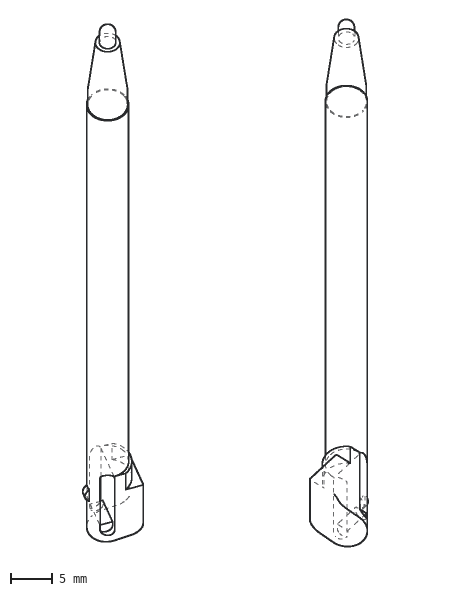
import cadquery as cq
import math

TOTAL_LENGTH = 93.86
BODY_WIDTH = 5.13
BODY_RADIUS = BODY_WIDTH / 2
BACK_REACH = 3.8
FRONT_REACH = 3.08

TIP_RADIUS = 1.0
TIP_LENGTH = 2.9
TIP_DOME_HEIGHT = 0.95
CONE_LENGTH = 8.85
CONE_END_RADIUS = 1.5
COLLAR_RADIUS = 2.43
COLLAR_LENGTH = 2.85

CAP_HEIGHT = 9.25
CAP_BOTTOM_RISE = 0.6
CAP_HEEL_RADIUS = 1.8
CAP_EDGE_RADIUS = 0.3
SLEEVE_RADIUS = 2.95
SLEEVE_TOP = 12.3

SLOT_DEPTH = 1.65
SLOT_BOTTOM = 1.4
SLOT_TOP = 12.65
SLOT_CORNER_RADIUS = 0.78
SLOT_BLOCK_TOP = 2.94
SLOT_BLOCK_WIDTH = 3.6

BUMP_WIDTH = 0.85
BUMP_HEIGHT = 2.1
BUMP_CENTER_Z = 7.3

TIP_BASE = TOTAL_LENGTH - TIP_LENGTH
CONE_BASE = TIP_BASE - CONE_LENGTH
COLLAR_BASE = CONE_BASE - COLLAR_LENGTH


def make_barrel():
    """Round barrel, collar, cone and domed tip as one turned shape."""
    dome_base = TOTAL_LENGTH - TIP_DOME_HEIGHT
    diagonal = math.sqrt(0.5)
    profile = (
        cq.Workplane("XZ")
        .lineTo(BODY_RADIUS, 0)
        .lineTo(BODY_RADIUS, COLLAR_BASE)
        .lineTo(COLLAR_RADIUS, COLLAR_BASE)
        .lineTo(COLLAR_RADIUS, CONE_BASE)
        .lineTo(CONE_END_RADIUS, TIP_BASE)
        .lineTo(TIP_RADIUS, TIP_BASE)
        .lineTo(TIP_RADIUS, dome_base)
        .threePointArc(
            (TIP_RADIUS * diagonal, dome_base + TIP_DOME_HEIGHT * diagonal),
            (0, TOTAL_LENGTH),
        )
        .close()
    )
    return profile.revolve(360, (0, 0, 0), (0, 1, 0))


def make_cap():
    """Square-backed cap block behind the parting plane, with softened back edges."""
    block = cq.Workplane("XY").box(
        BODY_WIDTH, BACK_REACH, CAP_HEIGHT, centered=(True, False, False)
    )
    return block.faces(">Y").edges("not <Z").fillet(CAP_EDGE_RADIUS)


def make_sleeve():
    """Back half of a wider round sleeve, trimmed flat to the width of the body."""
    sleeve = cq.Workplane("XY").circle(SLEEVE_RADIUS).extrude(SLEEVE_TOP)
    trim = cq.Workplane("XY").box(
        BODY_WIDTH, SLEEVE_RADIUS, SLEEVE_TOP, centered=(True, False, False)
    )
    return sleeve.intersect(trim)


def make_end_trim():
    """Side outline that slants the end face and rounds the heel of the cap."""
    outline = (
        cq.Workplane("YZ")
        .moveTo(-BODY_RADIUS, 0)
        .lineTo(BACK_REACH, CAP_BOTTOM_RISE)
        .lineTo(BACK_REACH, TOTAL_LENGTH)
        .lineTo(-BODY_RADIUS, TOTAL_LENGTH)
        .close()
        .extrude(BODY_RADIUS, both=True)
    )
    return outline.edges("|X and >Y").edges("<Z").fillet(CAP_HEEL_RADIUS)


def make_slot():
    """Slot through the sides, left partly filled by a block at its lower end."""
    slot = (
        cq.Workplane("XY")
        .box(BODY_WIDTH, SLOT_DEPTH, SLOT_TOP - SLOT_BOTTOM, centered=(True, False, False))
        .translate((0, -SLOT_DEPTH, SLOT_BOTTOM))
        .edges("|X")
        .fillet(SLOT_CORNER_RADIUS)
    )
    block = (
        cq.Workplane("XY")
        .box(SLOT_BLOCK_WIDTH, SLOT_DEPTH, SLOT_BLOCK_TOP, centered=(True, False, False))
        .translate((0, -SLOT_DEPTH, 0))
    )
    return slot.cut(block)


def make_bump():
    """Small arched bump, rooted inside the front wall."""
    half_height = BUMP_HEIGHT / 2
    wall = -(BODY_RADIUS + SLOT_DEPTH) / 2
    surface = -math.sqrt(BODY_RADIUS**2 - (BUMP_WIDTH / 2) ** 2)
    return (
        cq.Workplane("YZ")
        .moveTo(wall, BUMP_CENTER_Z - half_height)
        .lineTo(surface, BUMP_CENTER_Z - half_height)
        .threePointArc((-FRONT_REACH, BUMP_CENTER_Z), (surface, BUMP_CENTER_Z + half_height))
        .lineTo(wall, BUMP_CENTER_Z + half_height)
        .close()
        .extrude(BUMP_WIDTH / 2, both=True)
    )


pen = make_barrel().union(make_cap()).union(make_sleeve())
pen = pen.intersect(make_end_trim())
result = pen.cut(make_slot()).union(make_bump())